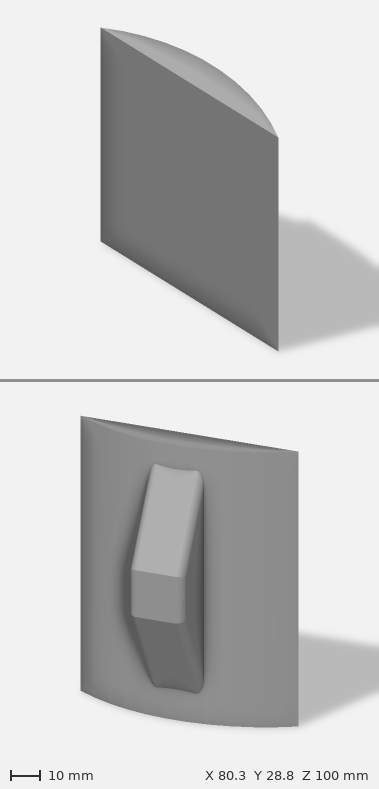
import cadquery as cq

plate_width = 80.25
plate_height = 100.0
arch_rise = 11.45

overall_depth = 28.76
rib_width = 20.0
rib_crest_height = 17.0
rib_base_height = 80.0
rib_center_z = 1.3
rib_edge_radius = 3.0
rib_embed = 2.0


def make_plate():
    """Circular-segment profile extruded along Z, centred on Z = 0."""
    half_width = plate_width / 2
    return (
        cq.Workplane("XY")
        .workplane(offset=-plate_height / 2)
        .moveTo(-half_width, 0)
        .threePointArc((0, arch_rise), (half_width, 0))
        .close()
        .extrude(plate_height)
    )


def make_rib():
    """Symmetric trapezoid with rounded edges along its crest and slopes."""
    half_crest = rib_crest_height / 2
    slope_run = (rib_base_height - rib_crest_height) / 2
    slope = slope_run / (overall_depth - arch_rise)
    half_root = rib_base_height / 2 + slope * rib_embed
    root_y = arch_rise - rib_embed
    rib = (
        cq.Workplane("YZ")
        .polyline([
            (root_y, rib_center_z - half_root),
            (overall_depth, rib_center_z - half_crest),
            (overall_depth, rib_center_z + half_crest),
            (root_y, rib_center_z + half_root),
        ])
        .close()
        .extrude(rib_width / 2, both=True)
    )
    return rib.faces("<X or >X").edges("not <Y").fillet(rib_edge_radius)


result = make_plate().union(make_rib())